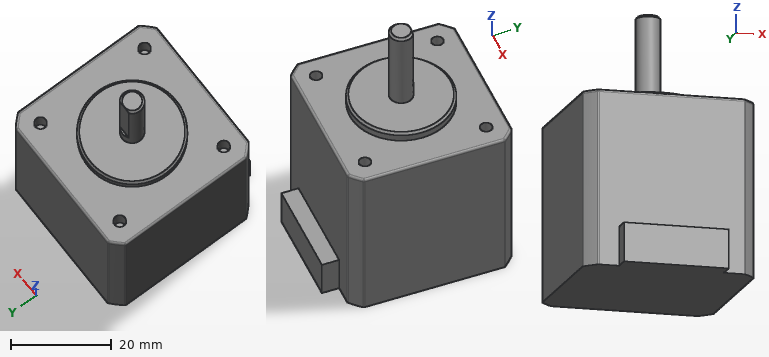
import cadquery as cq

body_width = 35.3
body_height = 36.0
corner_round_diameter = 46.5
edge_break = 0.5

pilot_diameter = 22.0
pilot_height = 2.0

overall_height = 56.0
shaft_diameter = 5.0
flat_depth = 0.5
flat_length = 15.0

hole_diameter = 2.5
hole_spacing = 26.0
hole_depth = 4.5

connector_width = 21.6
connector_depth = 3.7
connector_height = 8.0

pilot_top = body_height + pilot_height
shaft_length = overall_height - pilot_top


def make_body():
    """Square column with turned corners, rounded upright edges and a rounded top rim."""
    column = cq.Workplane("XY").rect(body_width, body_width).extrude(body_height)
    corner_round = cq.Workplane("XY").circle(corner_round_diameter / 2).extrude(body_height)
    column = column.intersect(corner_round)
    column = column.edges("|Z").fillet(edge_break)
    return column.faces(">Z").edges().fillet(edge_break)


def make_chamfered_disc(diameter, height, base_z):
    """Upright cylinder with its top rim chamfered."""
    disc = cq.Workplane("XY").workplane(offset=base_z).circle(diameter / 2).extrude(height)
    return disc.faces(">Z").chamfer(edge_break)


def make_shaft():
    """Chamfered shaft with a flat milled along its upper part."""
    shaft = make_chamfered_disc(shaft_diameter, shaft_length, pilot_top)
    flat_cutter = (
        cq.Workplane("XY")
        .workplane(offset=overall_height - flat_length)
        .center(0, shaft_diameter - flat_depth)
        .rect(shaft_diameter, shaft_diameter)
        .extrude(flat_length)
    )
    return shaft.cut(flat_cutter)


def make_mounting_holes():
    """Four blind holes at the corners of a square."""
    return (
        cq.Workplane("XY")
        .workplane(offset=body_height)
        .rect(hole_spacing, hole_spacing, forConstruction=True)
        .vertices()
        .circle(hole_diameter / 2)
        .extrude(-hole_depth)
    )


def make_connector():
    """Rectangular block standing out from the -Y face."""
    return (
        cq.Workplane("XY")
        .center(0, -(body_width + connector_depth) / 2)
        .rect(connector_width, connector_depth)
        .extrude(connector_height)
    )


result = (
    make_body()
    .cut(make_mounting_holes())
    .union(make_chamfered_disc(pilot_diameter, pilot_height, body_height))
    .union(make_shaft())
    .union(make_connector())
)